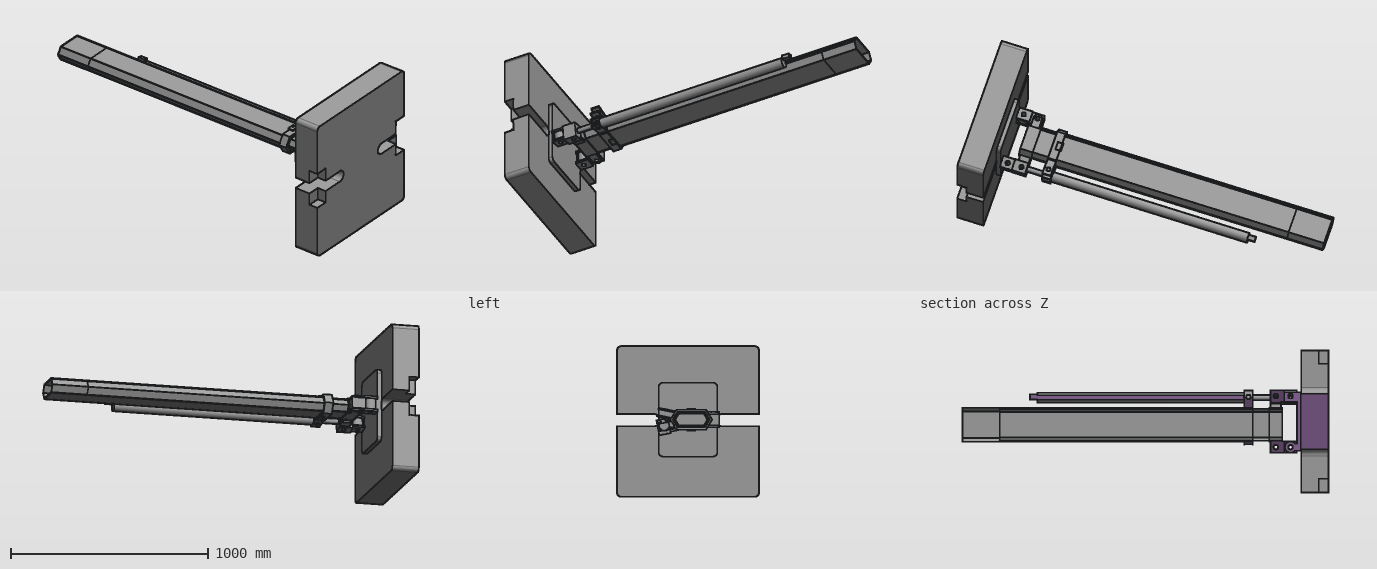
import cadquery as cq
import math


WALL = 4.6
TUBE_HALF_Y = 93.0
TUBE_HALF_Z = 39.0
TUBE_HALF_FLAT = 69.0
INNER_TUBE_START = 190.0

CLAMP_START = 1427.0
CLAMP_END = 1472.0
CLAMP_WALL = 11.0
CLAMP_X = (CLAMP_START + CLAMP_END) / 2
PAD_START = 1420.0
PAD_END = 1450.0
PAD_HALF_Y = 20.0
PAD_THICK = 5.0
EAR_THICK = 7.0
EAR_GAP = 30.0
EAR_OUTER_REACH = 33.0

TILT = 11.3
CYLINDER_Y = 137.0
CYLINDER_Z = -32.0
CYLINDER_RADIUS = 26.0
CYLINDER_START = 380.0
ROD_RADIUS = 14.0
LUG_LENGTH = 39.0
LUG_WIDTH = 26.0
LUG_BOTTOM = 15.0
LUG_TOP = 35.0

HINGE_HALF_Z = 39.0
HINGE_HALF_WIDTH = 30.0
TILTED_HALF_Z = 32.0
LEAF_THICK = 11.0
HOLE_RADIUS = 11.0
HOLE_HALF_LENGTH = 93.0
LEVEL_HINGE_Y = -113.0
TILTED_HINGE_OUT = 4.0
TILTED_HINGE_DROP = 4.0

BRACKET_START = 1555.0
BRACKET_END = 1622.0
ARM_START = 1560.0
ARM_END = 1631.0
ARM_HOLE_X = 1589.0
ARM_LEAF_RADIUS = 22.0
TILTED_LEAF_END = 1615.0

PLATE_START = 1695.0
BLOCK_START = 1717.0
BLOCK_END = 1856.0
LEVEL_FORK_START = 1624.0
FORK_HOLE_X = 1663.0
FORK_WEB_HALF_WIDTH = 19.0
KNUCKLE_RADIUS = HINGE_HALF_WIDTH
PLATE_HALF_WIDTH = 148.0
PLATE_HALF_HEIGHT = 187.0
BLOCK_WIDTH = 720.0
BLOCK_HEIGHT = 765.0
BLOCK_Y = 17.0
BLOCK_Z = -10.0
CORNER_RADIUS = 22.0
SLOT_HALF_HEIGHT = 30.6
SLOT_Z = -2.8
SLOT_END_OFFSET = 173.0
NOTCH_HALF_HEIGHT = 100.0
NOTCH_START = 1805.0
NOTCH_DEPTH = 69.0


def box(x0, x1, y0, y1, z0, z1):
    return cq.Workplane("XY").box(x1 - x0, y1 - y0, z1 - z0, centered=False).translate((x0, y0, z0))


def bar_along_x(x0, x1, radius):
    return cq.Workplane("YZ").workplane(offset=x0).circle(radius).extrude(x1 - x0)


def upright_bar(x, y, radius, half_z):
    return cq.Workplane("XY").workplane(offset=-half_z).center(x, y).circle(radius).extrude(2 * half_z)


def hole_along_z(x, y, radius):
    return upright_bar(x, y, radius, HOLE_HALF_LENGTH)


def hex_bar(x0, x1, offset):
    """Hexagonal bar whose sides are parallel to the outer tube, moved out by offset."""
    rise = TUBE_HALF_Z
    run = TUBE_HALF_Y - TUBE_HALF_FLAT
    slant = math.hypot(rise, run)
    point_y = TUBE_HALF_Y + offset * slant / rise
    half_z = TUBE_HALF_Z + offset
    flat_y = point_y - half_z * run / rise
    outline = [
        (point_y, 0), (flat_y, half_z), (-flat_y, half_z),
        (-point_y, 0), (-flat_y, -half_z), (flat_y, -half_z),
    ]
    return cq.Workplane("YZ").workplane(offset=x0).polyline(outline).close().extrude(x1 - x0)


def on_cylinder_axis(shape):
    """Tilt a shape built round the X axis and carry it to the cylinder axis."""
    return shape.rotate((0, 0, 0), (1, 0, 0), -TILT).translate((0, CYLINDER_Y, CYLINDER_Z))


def make_outer_tube():
    return hex_bar(0, CLAMP_END, 0).cut(hex_bar(0, CLAMP_END, -WALL))


def make_inner_tube():
    """Tube of the same wall that slides in the outer tube."""
    bore = hex_bar(INNER_TUBE_START, BRACKET_END, -2 * WALL)
    return hex_bar(INNER_TUBE_START, BRACKET_END, -WALL).cut(bore)


def make_ears():
    """Lower pair of ears: two parallel plates reaching out from the boom."""
    outer = EAR_GAP / 2 + EAR_THICK
    pair = box(CLAMP_START, CLAMP_END, -CYLINDER_Y + TUBE_HALF_FLAT, EAR_OUTER_REACH, -outer, outer)
    pair = pair.cut(box(CLAMP_START, CLAMP_END, -CYLINDER_Y, CYLINDER_Y, -EAR_GAP / 2, EAR_GAP / 2))
    return on_cylinder_axis(pair.cut(hole_along_z(CLAMP_X, 0, HOLE_RADIUS)))


def make_clamp():
    clamp = hex_bar(CLAMP_START, CLAMP_END, CLAMP_WALL)
    pad_z = TUBE_HALF_Z + CLAMP_WALL
    lower_ears = make_ears()
    clamp = clamp.union(lower_ears).union(lower_ears.mirror("XY"))
    upper_pad = box(PAD_START, PAD_END, -PAD_HALF_Y, PAD_HALF_Y, pad_z, pad_z + PAD_THICK)
    clamp = clamp.union(upper_pad).union(upper_pad.mirror("XY"))
    return clamp.cut(hex_bar(CLAMP_START, CLAMP_END, 0))


def make_cylinder():
    body = bar_along_x(CYLINDER_START, CLAMP_START, CYLINDER_RADIUS)
    lug_start = CYLINDER_START - LUG_LENGTH
    lug = box(lug_start, CYLINDER_START, -LUG_WIDTH / 2, LUG_WIDTH / 2, LUG_BOTTOM, LUG_TOP)
    return on_cylinder_axis(body.union(lug))


def make_rod():
    return on_cylinder_axis(bar_along_x(CLAMP_START, ARM_START, ROD_RADIUS))


def on_level_hinge(shape):
    return shape.translate((0, LEVEL_HINGE_Y, 0))


def on_tilted_hinge(shape):
    return on_cylinder_axis(shape.translate((0, TILTED_HINGE_OUT, -TILTED_HINGE_DROP)))


def leaf_pair(x0, x1, y0, y1, half_z):
    """Two flat plates, one above the other."""
    gap_half_z = half_z - LEAF_THICK
    return box(x0, x1, y0, y1, -half_z, half_z).cut(box(x0, x1, y0, y1, -gap_half_z, gap_half_z))


def arm_block(half_z):
    return box(ARM_START, ARM_END, -HINGE_HALF_WIDTH, HINGE_HALF_WIDTH, -half_z, half_z)


def make_level_arm():
    """Block held between two round-ended leaves."""
    core_half_z = HINGE_HALF_Z - LEAF_THICK
    radius = ARM_LEAF_RADIUS
    root_y = -TUBE_HALF_FLAT - LEVEL_HINGE_Y
    leaves = box(ARM_HOLE_X - radius, ARM_HOLE_X + radius, 0, root_y, -HINGE_HALF_Z, HINGE_HALF_Z)
    rounded = upright_bar(ARM_HOLE_X, 0, radius, HINGE_HALF_Z)
    neck = box(ARM_START, BRACKET_END, 0, root_y, -core_half_z, core_half_z)
    arm = leaves.union(rounded).union(arm_block(core_half_z)).union(neck)
    return on_level_hinge(arm.cut(hole_along_z(ARM_HOLE_X, 0, HOLE_RADIUS)))


def make_tilted_arm():
    """Block carried by two leaves that reach out from the sleeve."""
    root_y = TUBE_HALF_FLAT - CYLINDER_Y
    arm = leaf_pair(ARM_START, TILTED_LEAF_END, root_y, 0, TILTED_HALF_Z)
    arm = arm.union(arm_block(HINGE_HALF_Z))
    return on_tilted_hinge(arm.cut(hole_along_z(ARM_HOLE_X, 0, HOLE_RADIUS)))


def make_bracket():
    sleeve = hex_bar(BRACKET_START, BRACKET_END, 0)
    bracket = sleeve.union(make_level_arm()).union(make_tilted_arm())
    return bracket.cut(hex_bar(BRACKET_START, BRACKET_END, -WALL))


def make_fork(start, half_z):
    """Two leaves with a round knuckle between them, backed by a web."""
    gap_half_z = half_z - LEAF_THICK
    leaves = leaf_pair(start, PLATE_START, -HINGE_HALF_WIDTH, HINGE_HALF_WIDTH, half_z)
    knuckle = upright_bar(FORK_HOLE_X, 0, KNUCKLE_RADIUS, gap_half_z)
    web = box(FORK_HOLE_X, PLATE_START, -FORK_WEB_HALF_WIDTH, FORK_WEB_HALF_WIDTH, -gap_half_z, gap_half_z)
    fork = leaves.union(knuckle).union(web)
    return fork.cut(hole_along_z(FORK_HOLE_X, 0, HOLE_RADIUS))


def make_plate():
    y0 = BLOCK_Y - PLATE_HALF_WIDTH
    y1 = BLOCK_Y + PLATE_HALF_WIDTH
    plate = box(PLATE_START, BLOCK_START, y0, y1, -PLATE_HALF_HEIGHT, PLATE_HALF_HEIGHT)
    plate = plate.edges("|X").fillet(CORNER_RADIUS)
    level_fork = make_fork(LEVEL_FORK_START, HINGE_HALF_Z)
    tilted_fork = make_fork(ARM_END, TILTED_HALF_Z)
    return plate.union(on_level_hinge(level_fork)).union(on_tilted_hinge(tilted_fork))


def make_slot(side):
    """Slot open at one Y side and closed by a half-round end near the middle."""
    end_y = side * SLOT_END_OFFSET
    y0, y1 = sorted((end_y, side * BLOCK_WIDTH))
    straight = box(BLOCK_START, BLOCK_END, y0, y1, -SLOT_HALF_HEIGHT, SLOT_HALF_HEIGHT)
    round_end = bar_along_x(BLOCK_START, BLOCK_END, SLOT_HALF_HEIGHT).translate((0, end_y, 0))
    return straight.union(round_end).translate((0, BLOCK_Y, SLOT_Z))


def make_notch(side):
    """Cutout in the far corner of one Y side, wider than the slot."""
    half_depth = NOTCH_DEPTH / 2
    notch_y = BLOCK_Y + side * (BLOCK_WIDTH / 2 - half_depth)
    notch = box(NOTCH_START, BLOCK_END, -half_depth, half_depth, -NOTCH_HALF_HEIGHT, NOTCH_HALF_HEIGHT)
    return notch.translate((0, notch_y, 0))


def make_block():
    half_y = BLOCK_WIDTH / 2
    half_z = BLOCK_HEIGHT / 2
    block = box(BLOCK_START, BLOCK_END, -half_y, half_y, -half_z, half_z).edges("|X").fillet(CORNER_RADIUS)
    block = block.translate((0, BLOCK_Y, BLOCK_Z))
    for side in (-1, 1):
        block = block.cut(make_slot(side)).cut(make_notch(side))
    return block


outer_tube = make_outer_tube()
inner_tube = make_inner_tube()
clamp = make_clamp()
cylinder = make_cylinder()
rod = make_rod()
bracket = make_bracket()
plate = make_plate()
block = make_block()

result = cq.Compound.makeCompound([
    outer_tube.val(), inner_tube.val(), clamp.val(), cylinder.val(),
    rod.val(), bracket.val(), plate.val(), block.val(),
])